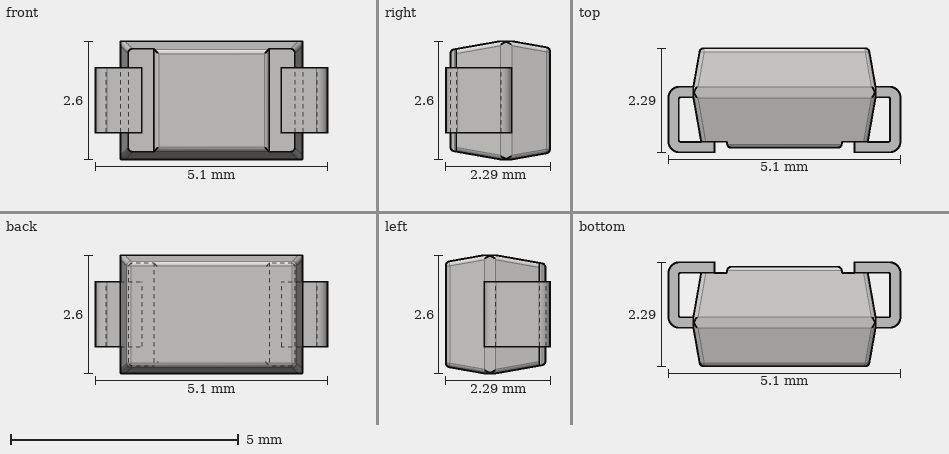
import cadquery as cq
import math


overall_length = 5.1
overall_height = 2.29

body_length = 4.0
body_width = 2.6
draft_angle = 10.0
body_round = 0.1
draft_slope = math.tan(math.radians(draft_angle))

belt_top = 1.445
belt_thickness = 0.245
belt_bottom = belt_top - belt_thickness

pad_length = 2.54
pad_bottom = 0.1
pad_round = 0.1

lead_width = 1.43
lead_thickness = 0.235
lead_foot_length = 1.015
lead_outer_radius = 0.25
lead_inner_radius = 0.03
lead_embed = 0.3

body_bottom = lead_thickness


def plane_along_y(y, direction):
    """Plane at height y, with local x along X and its normal along +Y or -Y."""
    return cq.Plane(origin=(0, y, 0), xDir=(1, 0, 0), normal=(0, direction, 0))


def drafted_block(wide_y, belt_edge_y, narrow_y):
    """Block with belt size at belt_edge_y, tapering from wide_y to narrow_y, with rounded slanted edges."""
    direction = 1 if narrow_y > wide_y else -1
    growth = 2 * draft_slope * abs(belt_edge_y - wide_y)
    block = (
        cq.Workplane(plane_along_y(wide_y, direction))
        .rect(body_length + growth, body_width + growth)
        .extrude(abs(narrow_y - wide_y), taper=draft_angle)
    )
    slanted_edges = block.edges("not(#Y)")
    return slanted_edges.fillet(body_round)


def make_body():
    """Two opposed drafted blocks, trimmed by the belt-sized block."""
    upper = drafted_block(body_bottom, belt_top, overall_height)
    upper = upper.faces(">Y").edges().fillet(body_round)
    lower = drafted_block(overall_height, belt_bottom, body_bottom)
    body_height = overall_height - body_bottom
    belt_block = (
        cq.Workplane(plane_along_y(body_bottom, 1))
        .rect(body_length, body_width)
        .extrude(body_height)
    )
    return belt_block.intersect(upper).intersect(lower)


def make_pad():
    """Raised pad whose four sides carry on the draft of the body, with rounded lower edges."""
    pad_width = body_width - 2 * draft_slope * (belt_bottom - body_bottom)
    pad = (
        cq.Workplane(plane_along_y(body_bottom, -1))
        .rect(pad_length, pad_width)
        .extrude(body_bottom - pad_bottom, taper=draft_angle)
    )
    return pad.faces("<Y").edges().fillet(pad_round)


def make_lead(side):
    """C-shaped strip from the belt down to the foot; side is +1 or -1 along X."""
    outer_x = side * overall_length / 2
    inner_x = outer_x - side * lead_thickness
    root_x = side * (body_length / 2 - lead_embed)
    foot_x = outer_x - side * lead_foot_length
    lead = (
        cq.Workplane("XY")
        .polyline([
            (root_x, belt_top),
            (outer_x, belt_top),
            (outer_x, 0),
            (foot_x, 0),
            (foot_x, lead_thickness),
            (inner_x, lead_thickness),
            (inner_x, belt_top - lead_thickness),
            (root_x, belt_top - lead_thickness),
        ])
        .close()
        .extrude(lead_width / 2, both=True)
    )
    outward = ">X" if side > 0 else "<X"
    lead = lead.faces(outward).edges("|Z").fillet(lead_outer_radius)
    inner_selector = cq.selectors.BoxSelector(
        (inner_x - lead_inner_radius, 0, -lead_width),
        (inner_x + lead_inner_radius, belt_top, lead_width),
    )
    return lead.edges("|Z").edges(inner_selector).fillet(lead_inner_radius)


result = make_body().union(make_pad()).clean()
for lead_side in (-1, 1):
    result = result.union(make_lead(lead_side))